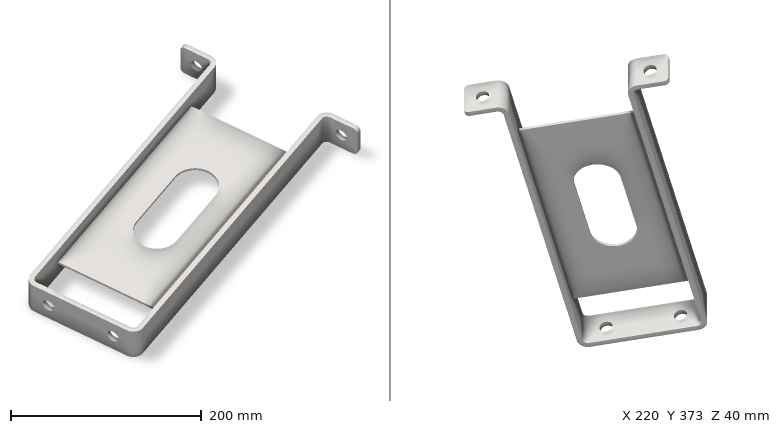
import cadquery as cq

frame_length = 373.0
tab_span = 220.0
strap_height = 40.0
strap_thickness = 6.0
frame_width = 140.0
inner_bend_radius = 6.0
tab_corner_radius = 5.2

hole_diameter = 14.0
tab_hole_spacing = 180.0
front_hole_spacing = 80.2

shelf_side_gap = 0.5
shelf_width = frame_width - 2 * strap_thickness - 2 * shelf_side_gap
shelf_length = 260.0
shelf_thickness = 3.0
shelf_front_offset = 56.0
slot_width = 50.0
slot_length = 125.0


def make_strap():
    """U-shaped strap with outward tabs; its front face lies at Y = 0, centred on X and Z."""
    tab_x = tab_span / 2
    mid_radius = inner_bend_radius + strap_thickness / 2
    mid_x = (frame_width - strap_thickness) / 2
    front_y = strap_thickness / 2
    back_y = frame_length - strap_thickness / 2
    bend_x = mid_x - mid_radius
    tab_bend_x = mid_x + mid_radius
    centre_line = (
        cq.Workplane("XY")
        .moveTo(-tab_x, back_y)
        .lineTo(-tab_bend_x, back_y)
        .tangentArcPoint((-mid_x, back_y - mid_radius), relative=False)
        .lineTo(-mid_x, front_y + mid_radius)
        .tangentArcPoint((-bend_x, front_y), relative=False)
        .lineTo(bend_x, front_y)
        .tangentArcPoint((mid_x, front_y + mid_radius), relative=False)
        .lineTo(mid_x, back_y - mid_radius)
        .tangentArcPoint((tab_bend_x, back_y), relative=False)
        .lineTo(tab_x, back_y)
    )
    return (
        cq.Workplane("YZ", origin=(-tab_x, back_y, 0))
        .rect(strap_thickness, strap_height)
        .sweep(centre_line)
    )


def drill_pair(body, spacing, back_face_y):
    """Drill two holes along Y through the strap wall whose back face is at back_face_y."""
    cutters = (
        cq.Workplane("XZ", origin=(0, back_face_y, 0))
        .pushPoints([(-spacing / 2, 0), (spacing / 2, 0)])
        .circle(hole_diameter / 2)
        .extrude(strap_thickness)
    )
    return body.cut(cutters)


def make_frame():
    frame = make_strap()
    frame = frame.edges("|Y and (<X or >X)").fillet(tab_corner_radius)
    frame = drill_pair(frame, tab_hole_spacing, frame_length)
    return drill_pair(frame, front_hole_spacing, strap_thickness)


def make_shelf():
    """Flat plate at mid-height between the frame sides, with a central rounded slot."""
    centre_y = shelf_front_offset + shelf_length / 2
    plate = cq.Workplane("XY").box(shelf_width, shelf_length, shelf_thickness)
    slot = cq.Workplane("XY").slot2D(slot_length, slot_width, 90).extrude(shelf_thickness, both=True)
    return plate.cut(slot).translate((0, centre_y, 0))


frame = make_frame()
shelf = make_shelf()

result = cq.Compound.makeCompound([frame.val(), shelf.val()])